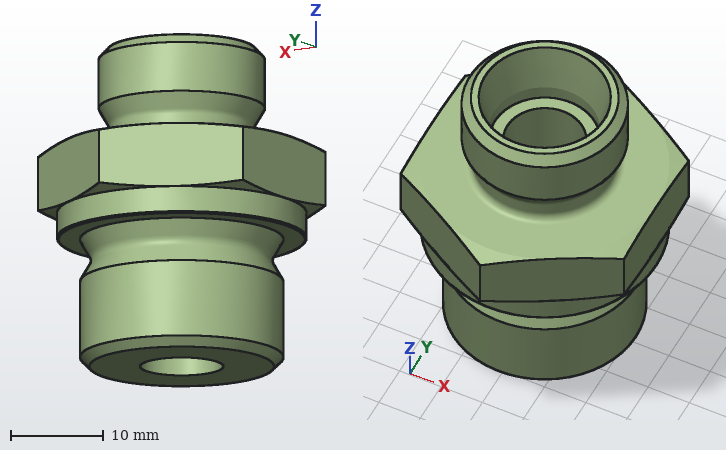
import cadquery as cq
import math

HEIGHT = 35.0
LOWER_CHAMFER_TOP = 1.0
LOWER_THREAD_TOP = 9.35
COLLAR_BOTTOM = 14.05
HEX_BOTTOM = 16.98
HEX_TOP = 23.98
UPPER_THREAD_BOTTOM = 28.52
UPPER_CHAMFER_BOTTOM = 33.9

LOWER_THREAD_R = 22.0 / 2
LOWER_END_R = 9.98
UPPER_THREAD_R = 18.0 / 2
UPPER_END_R = 7.98
NECK_R = 15.7 / 2
COLLAR_R = 27.0 / 2
COLLAR_CHAMFER = 0.18

FLANK_ANGLE = math.radians(30)
GROOVE_FLANK_HEIGHT = 1.75
NECK_FILLET_R = 0.95

HEX_ACROSS_FLATS = 27.02
HEX_CHAMFER_ANGLE = math.radians(15)
ENVELOPE_MARGIN = 0.35

BORE_R = 9.0 / 2
SOCKET_R = 12.0 / 2
SOCKET_DEPTH = 7.0
CONE_MOUTH_R = 7.15
CONE_HALF_ANGLE = math.radians(12)


def revolve_profile(profile):
    """Turn a closed radius-height outline around the Z axis."""
    return profile.close().revolve(360, (0, 0, 0), (0, 1, 0))


def make_lower_body():
    """Lower thread, rounded V undercut and round collar."""
    flank_inset = GROOVE_FLANK_HEIGHT * math.tan(FLANK_ANGLE)
    groove_r = LOWER_THREAD_R - flank_inset
    arc_bottom = LOWER_THREAD_TOP + GROOVE_FLANK_HEIGHT
    arc_top = COLLAR_BOTTOM - GROOVE_FLANK_HEIGHT
    arc_r = (arc_top - arc_bottom) / (2 * math.sin(FLANK_ANGLE))
    root_r = groove_r - arc_r * (1 - math.cos(FLANK_ANGLE))
    return revolve_profile(
        cq.Workplane("XZ")
        .lineTo(LOWER_END_R, 0)
        .lineTo(LOWER_THREAD_R, LOWER_CHAMFER_TOP)
        .lineTo(LOWER_THREAD_R, LOWER_THREAD_TOP)
        .lineTo(groove_r, arc_bottom)
        .threePointArc((root_r, (arc_bottom + arc_top) / 2), (groove_r, arc_top))
        .lineTo(LOWER_THREAD_R, COLLAR_BOTTOM)
        .lineTo(COLLAR_R - COLLAR_CHAMFER, COLLAR_BOTTOM)
        .lineTo(COLLAR_R, COLLAR_BOTTOM + COLLAR_CHAMFER)
        .lineTo(COLLAR_R, HEX_BOTTOM)
        .lineTo(0, HEX_BOTTOM)
    )


def make_hexagon():
    """Hexagon with corners on the Y axis, chamfered by a cone at both ends."""
    corner_r = HEX_ACROSS_FLATS / math.sqrt(3)
    hexagon = (
        cq.Workplane("XY", origin=(0, 0, HEX_BOTTOM))
        .polygon(6, 2 * corner_r)
        .extrude(HEX_TOP - HEX_BOTTOM)
        .rotate((0, 0, 0), (0, 0, 1), 30)
    )
    envelope_r = corner_r + ENVELOPE_MARGIN
    drop = (envelope_r - COLLAR_R) * math.tan(HEX_CHAMFER_ANGLE)
    envelope = revolve_profile(
        cq.Workplane("XZ")
        .moveTo(0, HEX_BOTTOM)
        .lineTo(COLLAR_R, HEX_BOTTOM)
        .lineTo(envelope_r, HEX_BOTTOM + drop)
        .lineTo(envelope_r, HEX_TOP - drop)
        .lineTo(COLLAR_R, HEX_TOP)
        .lineTo(0, HEX_TOP)
    )
    return hexagon.intersect(envelope)


def make_upper_body():
    """Filleted neck and upper thread."""
    blend_r = NECK_R + NECK_FILLET_R * (1 - math.cos(FLANK_ANGLE))
    flank_height = (UPPER_THREAD_R - blend_r) / math.tan(FLANK_ANGLE)
    blend_top = UPPER_THREAD_BOTTOM - flank_height
    blend_bottom = blend_top - NECK_FILLET_R * math.sin(FLANK_ANGLE)
    return revolve_profile(
        cq.Workplane("XZ")
        .moveTo(0, HEX_TOP)
        .lineTo(NECK_R + NECK_FILLET_R, HEX_TOP)
        .radiusArc((NECK_R, HEX_TOP + NECK_FILLET_R), NECK_FILLET_R)
        .lineTo(NECK_R, blend_bottom)
        .radiusArc((blend_r, blend_top), NECK_FILLET_R)
        .lineTo(UPPER_THREAD_R, UPPER_THREAD_BOTTOM)
        .lineTo(UPPER_THREAD_R, UPPER_CHAMFER_BOTTOM)
        .lineTo(UPPER_END_R, HEIGHT)
        .lineTo(0, HEIGHT)
    )


def make_bore():
    """Through bore, stepped tube socket and sealing cone at the upper end."""
    cone_depth = (CONE_MOUTH_R - SOCKET_R) / math.tan(CONE_HALF_ANGLE)
    return revolve_profile(
        cq.Workplane("XZ")
        .lineTo(BORE_R, 0)
        .lineTo(BORE_R, HEIGHT - SOCKET_DEPTH)
        .lineTo(SOCKET_R, HEIGHT - SOCKET_DEPTH)
        .lineTo(SOCKET_R, HEIGHT - cone_depth)
        .lineTo(CONE_MOUTH_R, HEIGHT)
        .lineTo(0, HEIGHT)
    )


body = make_lower_body().union(make_hexagon()).union(make_upper_body())
result = body.cut(make_bore())